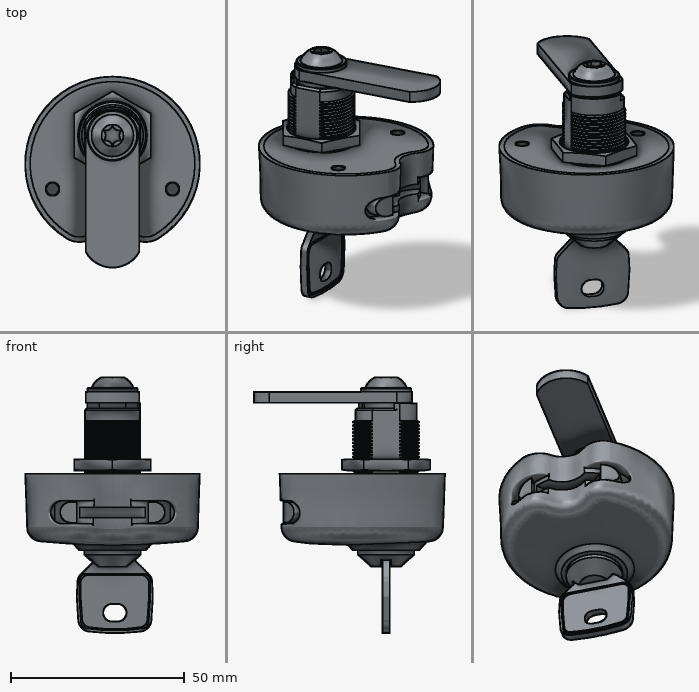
import cadquery as cq
import math


housing_width = 50.4
housing_radius = housing_width / 2
housing_center_y = -8.2
housing_depth = 20.6
draft_angle = 2.0
bottom_round = 4.3
dome_radius = 206.5
wall = 1.5
lobe_radius = 7.0
lobe_x = 9.5
lobe_y = housing_center_y - math.sqrt((housing_radius - lobe_radius) ** 2 - lobe_x**2)
recess_radius = 7.0
recess_y = lobe_y - math.sqrt((lobe_radius + recess_radius) ** 2 - lobe_x**2)

boss_radius = 9.5
boss_root_radius = 12.8
boss_bottom_z = -22.1
boss_root_z = -18.4

pocket_z = -11.1
pocket_length = 35.55
pocket_height = 6.6
pocket_floor_radius = 21.4
pocket_end_radius = 8.85
pocket_end_y = -26.9
pocket_edge_round = 0.45
pad_length = 30.1
pad_height = 5.9
pad_gap = 20.65
pad_radius = housing_radius - wall
groove_height = 3.0
groove_radius = 11.4

base_thickness = 5.9
base_hole_diameter = 3.6
base_hole_mouth = 4.0
base_hole_x = 17.25
base_hole_y = -15.4

thread_radius = 9.6
core_radius = 8.85
flat_distance = 15.85
thread_top_z = 15.35
thread_bottom_z = -0.7
thread_count = 16
thread_pitch = (thread_top_z - thread_bottom_z) / thread_count
thread_ridge_base = 0.75
thread_crest_width = 0.15
barrel_top_z = 18.9
barrel_bottom_z = -14.75
barrel_bevel = 0.7
stop_top_z = 20.2
stop_inner_radius = 8.25
stop_angle = 135.0

plug_shaft_radius = 5.9
plug_face_diameter = 16.3
plug_face_radius = plug_face_diameter / 2
plug_tip_radius = 4.3
plug_shoulder_z = -23.3
plug_tip_z = -26.8
key_slot_width = 2.8

washer_top_z = 20.35
washer_radius = 7.3
tab_radius = 7.9
tab_width = 7.7
cam_width = 15.4
cam_top_z = 23.5
cam_end_radius = 8.85
cam_back_y = 7.5
cam_tip_y = -38.05
screw_head_diameter = 14.5
screw_flange_z = 24.7
screw_flange_bevel = 0.2
screw_dome_radius = 6.05
screw_dome_mid_radius = 5.0
screw_dome_mid_z = 26.4
screw_top_z = 27.8
screw_top_radius = 3.2
screw_shank_diameter = 5.6
socket_tip_radius = 3.1
socket_root_radius = 2.0
socket_points = 6
socket_depth = 2.2

nut_sides = 6
nut_width = 22.05
nut_bottom_z = 0.9
nut_height = 3.3
nut_bevel_height = 0.2
nut_bore_bevel = 0.4

key_x = 0.7
key_thickness = 2.15
key_top_z = -24.9
key_bottom_z = -45.95
key_shoulder_half_width = 5.75
key_upper_half_width = 10.7
key_middle_half_width = 11.0
key_lower_half_width = 10.4
key_upper_z = key_top_z - (key_upper_half_width - key_shoulder_half_width)
key_middle_z = -35.4
key_lower_z = -45.05
key_upper_round = 2.95
key_lower_round = 3.7
key_hole_length = 6.6
key_hole_height = 5.0
key_hole_z = -40.05
trim_top_z = -28.75
trim_inset = 0.75
trim_width = 0.45
trim_depth = 0.2
trim_corner_round = 2.2


def cylinder(radius, bottom_z, top_z):
    """Upright cylinder on the lock axis."""
    return cq.Workplane("XY").workplane(offset=bottom_z).circle(radius).extrude(top_z - bottom_z)


def turned(points):
    """Solid of revolution about the lock axis from (radius, z) points."""
    return cq.Workplane("XZ").polyline(points).close().revolve(360, (0, 0), (0, 1))


def point_toward(start, end, distance):
    """The point at a distance from start, in the direction of end."""
    length = math.dist(start, end)
    return tuple(s + (e - s) * distance / length for s, e in zip(start, end))


def housing_outline(z, inset):
    """Housing plan shape at height z, moved inward by inset; all its arcs are tangent."""
    big = housing_radius - inset
    recess = recess_radius + inset
    lobe = lobe_radius - inset
    center = (0, housing_center_y)
    right_lobe = (lobe_x, lobe_y)
    right_start = point_toward(center, right_lobe, big)
    right_end = point_toward((0, recess_y), right_lobe, recess)
    right_mid = (lobe_x, lobe_y - lobe)
    return (
        cq.Workplane("XY", origin=(0, 0, z))
        .moveTo(*right_start)
        .threePointArc(right_mid, right_end)
        .threePointArc((0, recess_y + recess), (-right_end[0], right_end[1]))
        .threePointArc((-right_mid[0], right_mid[1]), (-right_start[0], right_start[1]))
        .threePointArc((0, housing_center_y + big), right_start)
        .close()
    )


def column(radius, center_x, center_y):
    """Cylinder as tall as the pockets, used to shape their walls."""
    height = 2 * pocket_height
    bottom_z = pocket_z - height / 2
    return cq.Workplane("XY", origin=(center_x, center_y, bottom_z)).circle(radius).extrude(height)


def front_slot(length, height):
    """Round-ended bar that runs in from the lobed side of the housing."""
    front_y = lobe_y - 2 * lobe_radius
    return (
        cq.Workplane("XZ", origin=(0, front_y, pocket_z))
        .slot2D(length, height)
        .extrude(front_y - housing_center_y)
    )


def make_pockets():
    """Cutting tool for both lobe pockets, with a concave end wall in each."""
    left_end = column(pocket_end_radius, -lobe_x, pocket_end_y)
    right_end = column(pocket_end_radius, lobe_x, pocket_end_y)
    pockets = front_slot(pocket_length, pocket_height).intersect(left_end.union(right_end))
    return pockets.cut(column(pocket_floor_radius, 0, housing_center_y))


def make_pads():
    """The two pads that stand on the pocket floors, apart at the middle."""
    pads = front_slot(pad_length, pad_height).intersect(column(pad_radius, 0, housing_center_y))
    pads = pads.cut(column(pocket_floor_radius, 0, housing_center_y))
    return pads.cut(cq.Workplane("XY").box(pad_gap, 4 * housing_radius, 4 * housing_depth))


def round_pocket_rims(body):
    """Round the pocket edges that lie on the outer wall, outside the pad radius."""
    half_band = (pocket_height + pocket_edge_round) / 2
    rims = []
    for edge in body.edges().vals():
        middle = edge.positionAt(0.5)
        reach = math.dist((middle.x, middle.y), (0, housing_center_y))
        if reach > pad_radius and abs(middle.z - pocket_z) < half_band:
            rims.append(edge)
    return body.newObject(rims).fillet(pocket_edge_round)


def make_housing():
    bottom_inset = housing_depth * math.tan(math.radians(draft_angle))
    bottom_wire = housing_outline(-housing_depth, bottom_inset).val()
    top_wire = housing_outline(0, 0).val()
    body = cq.Workplane(cq.Solid.makeLoft([top_wire, bottom_wire], True))
    dome = cq.Workplane("XY", origin=(0, housing_center_y, dome_radius - housing_depth)).sphere(dome_radius)
    body = body.intersect(dome)
    body = body.faces("<Z").edges().fillet(bottom_round)

    boss = turned(
        [(0, boss_root_z), (boss_root_radius, boss_root_z), (boss_radius, boss_bottom_z), (0, boss_bottom_z)]
    )
    body = body.union(boss)

    body = round_pocket_rims(body.cut(make_pockets()))
    groove = cq.Workplane("XY", origin=(0, recess_y, pocket_z - groove_height / 2))
    body = body.cut(groove.circle(groove_radius).extrude(groove_height))
    body = body.union(make_pads())

    body = body.cut(housing_outline(-base_thickness, wall).extrude(base_thickness))
    body = body.cut(cylinder(core_radius, barrel_bottom_z, 0))
    return body.cut(cylinder(plug_shaft_radius, boss_bottom_z, 0))


def make_base():
    base = housing_outline(-base_thickness, wall).extrude(base_thickness)
    base = base.cut(cylinder(thread_radius, -base_thickness, 0))
    mouth_bevel = (base_hole_mouth - base_hole_diameter) / 2
    hole_places = [(-base_hole_x, base_hole_y), (base_hole_x, base_hole_y)]
    holes = (
        cq.Workplane("XY", origin=(0, 0, -base_thickness))
        .pushPoints(hole_places)
        .circle(base_hole_diameter / 2)
        .extrude(base_thickness)
    )
    mouths = (
        cq.Workplane("XY")
        .pushPoints(hole_places)
        .circle(base_hole_mouth / 2)
        .extrude(-mouth_bevel, taper=45)
    )
    return base.cut(holes).cut(mouths)


def barrel_profile():
    """Half section of the barrel: core, thread ridges and collar."""
    points = [(plug_shaft_radius, barrel_bottom_z), (core_radius, barrel_bottom_z)]
    for turn in range(thread_count):
        middle = thread_bottom_z + (turn + 0.5) * thread_pitch
        points += [
            (core_radius, middle - thread_ridge_base / 2),
            (thread_radius, middle - thread_crest_width / 2),
            (thread_radius, middle + thread_crest_width / 2),
            (core_radius, middle + thread_ridge_base / 2),
        ]
    points += [(core_radius, barrel_top_z), (plug_shaft_radius, barrel_top_z)]
    return points


def make_barrel():
    flats = cq.Workplane("XY").box(flat_distance, 3 * thread_radius, 2 * (stop_top_z - boss_bottom_z))
    round_foot = cylinder(core_radius, barrel_bottom_z, -base_thickness)
    barrel = turned(barrel_profile()).intersect(flats.union(round_foot))
    outer_rim = barrel.faces(">Z").val().outerWire().Edges()
    barrel = barrel.newObject(outer_rim).chamfer(barrel_bevel)

    stop_bottom_z = barrel_top_z - 2 * barrel_bevel
    stop = (
        cq.Workplane("XZ")
        .moveTo(stop_inner_radius, stop_bottom_z)
        .lineTo(core_radius, stop_bottom_z)
        .lineTo(core_radius, stop_top_z)
        .lineTo(stop_inner_radius, stop_top_z)
        .close()
        .revolve(stop_angle, (0, 0), (0, 1))
    )
    return barrel.union(stop.intersect(flats))


def make_plug():
    plug = turned(
        [
            (0, barrel_top_z),
            (plug_shaft_radius, barrel_top_z),
            (plug_shaft_radius, boss_bottom_z),
            (plug_face_radius, boss_bottom_z),
            (plug_face_radius, plug_shoulder_z),
            (plug_tip_radius, plug_tip_z),
            (0, plug_tip_z),
        ]
    )
    slot_height = key_top_z - plug_tip_z
    slot = cq.Workplane("XY", origin=(0, 0, plug_tip_z)).rect(3 * plug_face_radius, key_slot_width)
    plug = plug.cut(slot.extrude(slot_height))
    return plug.cut(cylinder(screw_shank_diameter / 2, 0, barrel_top_z))


def make_stop_washer():
    washer = cylinder(washer_radius, barrel_top_z, washer_top_z)
    tab = cq.Workplane("XY", origin=(0, -tab_radius, (barrel_top_z + washer_top_z) / 2))
    tab = tab.box(tab_width, tab_radius, washer_top_z - barrel_top_z)
    tab = tab.intersect(cylinder(tab_radius, barrel_top_z, washer_top_z))
    return washer.union(tab).cut(cylinder(screw_shank_diameter / 2, barrel_top_z, washer_top_z))


def make_nut():
    nut_top_z = nut_bottom_z + nut_height
    corner_radius = nut_width / 2 / math.cos(math.pi / nut_sides)
    nut = (
        cq.Workplane("XY", origin=(0, 0, nut_bottom_z))
        .polygon(nut_sides, 2 * corner_radius)
        .extrude(nut_height)
        .rotate((0, 0, 0), (0, 0, 1), 180 / nut_sides)
    )
    bevels = turned(
        [
            (0, nut_bottom_z),
            (nut_width / 2, nut_bottom_z),
            (corner_radius, nut_bottom_z + nut_bevel_height),
            (corner_radius, nut_top_z - nut_bevel_height),
            (nut_width / 2, nut_top_z),
            (0, nut_top_z),
        ]
    )
    bore = cylinder(thread_radius, nut_bottom_z, nut_top_z)
    nut = nut.intersect(bevels).cut(bore)
    return nut.edges(cq.selectors.RadiusNthSelector(0)).chamfer(nut_bore_bevel)


def make_cam():
    half_width = cam_width / 2
    end_rise = cam_end_radius - math.sqrt(cam_end_radius**2 - half_width**2)
    cam = (
        cq.Workplane("XY", origin=(0, 0, washer_top_z))
        .moveTo(-half_width, cam_back_y - end_rise)
        .threePointArc((0, cam_back_y), (half_width, cam_back_y - end_rise))
        .lineTo(half_width, cam_tip_y + end_rise)
        .threePointArc((0, cam_tip_y), (-half_width, cam_tip_y + end_rise))
        .close()
        .extrude(cam_top_z - washer_top_z)
    )
    return cam.cut(cylinder(screw_shank_diameter / 2, washer_top_z, cam_top_z))


def make_socket():
    """Star-shaped driver socket: sharp tips joined by arcs that bulge inward."""
    half_step = math.pi / socket_points
    socket = cq.Workplane("XY", origin=(0, 0, screw_top_z)).moveTo(0, socket_tip_radius)
    for tip in range(socket_points):
        root_angle = math.pi / 2 + (2 * tip + 1) * half_step
        tip_angle = root_angle + half_step
        socket = socket.threePointArc(
            (socket_root_radius * math.cos(root_angle), socket_root_radius * math.sin(root_angle)),
            (socket_tip_radius * math.cos(tip_angle), socket_tip_radius * math.sin(tip_angle)),
        )
    return socket.close().extrude(-socket_depth)


def make_screw():
    head_radius = screw_head_diameter / 2
    head = (
        cq.Workplane("XZ")
        .moveTo(0, cam_top_z)
        .lineTo(head_radius, cam_top_z)
        .lineTo(head_radius, screw_flange_z - screw_flange_bevel)
        .lineTo(head_radius - screw_flange_bevel, screw_flange_z)
        .lineTo(screw_dome_radius, screw_flange_z)
        .threePointArc((screw_dome_mid_radius, screw_dome_mid_z), (screw_top_radius, screw_top_z))
        .lineTo(0, screw_top_z)
        .close()
        .revolve(360, (0, 0), (0, 1))
    )
    shank = cylinder(screw_shank_diameter / 2, 0, cam_top_z)
    return head.union(shank).cut(make_socket())


def round_corners(plate, corner_z, radius):
    """Round the edges through the key's thickness that lie at height corner_z."""
    reach = 0.1
    band = cq.selectors.BoxSelector(
        (-housing_width, -key_thickness, corner_z - reach), (housing_width, key_thickness, corner_z + reach)
    )
    return plate.edges("|Y").edges(band).fillet(radius)


def key_trim(inset):
    """Rounded panel outline inside the key bow, as a solid of the trim depth."""
    middle = key_middle_half_width - trim_inset - inset
    lower = key_lower_half_width - trim_inset - inset
    top_z = trim_top_z - inset
    corner_z = key_lower_z + trim_inset + inset
    panel = (
        cq.Workplane("XZ", origin=(key_x, -key_thickness / 2, 0))
        .moveTo(-middle, top_z)
        .lineTo(middle, top_z)
        .lineTo(middle, key_middle_z)
        .lineTo(lower, corner_z)
        .threePointArc((0, key_bottom_z + trim_inset + inset), (-lower, corner_z))
        .lineTo(-middle, key_middle_z)
        .close()
        .extrude(-trim_depth)
    )
    panel = round_corners(panel, top_z, trim_corner_round)
    return round_corners(panel, corner_z, trim_corner_round)


def make_key():
    key = (
        cq.Workplane("XZ", origin=(key_x, key_thickness / 2, 0))
        .moveTo(-key_shoulder_half_width, key_top_z)
        .lineTo(key_shoulder_half_width, key_top_z)
        .lineTo(key_upper_half_width, key_upper_z)
        .lineTo(key_middle_half_width, key_middle_z)
        .lineTo(key_lower_half_width, key_lower_z)
        .threePointArc((0, key_bottom_z), (-key_lower_half_width, key_lower_z))
        .lineTo(-key_middle_half_width, key_middle_z)
        .lineTo(-key_upper_half_width, key_upper_z)
        .close()
        .extrude(key_thickness)
    )
    key = round_corners(key, key_upper_z, key_upper_round)
    key = round_corners(key, key_lower_z, key_lower_round)
    hole = (
        cq.Workplane("XZ", origin=(key_x, key_thickness, key_hole_z))
        .slot2D(key_hole_length, key_hole_height)
        .extrude(2 * key_thickness)
    )
    return key.cut(hole).cut(key_trim(0).cut(key_trim(trim_width)))


housing = make_housing()
base = make_base()
barrel = make_barrel()
plug = make_plug()
stop_washer = make_stop_washer()
nut = make_nut()
cam = make_cam()
screw = make_screw()
key = make_key()

result = cq.Compound.makeCompound(
    [
        housing.val(),
        base.val(),
        barrel.val(),
        plug.val(),
        stop_washer.val(),
        nut.val(),
        cam.val(),
        screw.val(),
        key.val(),
    ]
)